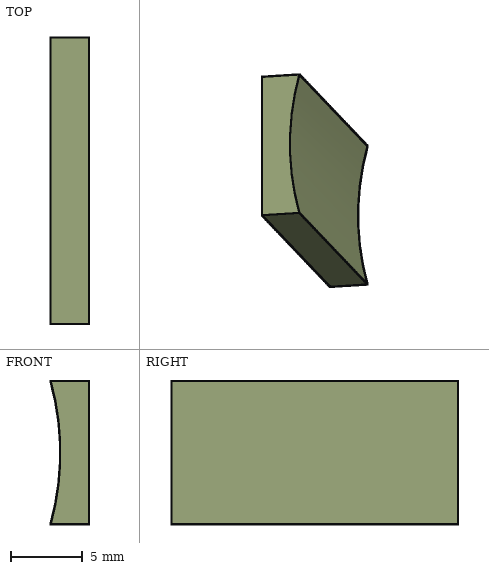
import cadquery as cq

length = 20.0
height = 10.0
thickness = 2.7
channel_depth = 0.68

half_height = height / 2
half_thickness = thickness / 2

profile = (
    cq.Workplane("XZ")
    .moveTo(half_thickness, -half_height)
    .lineTo(half_thickness, half_height)
    .lineTo(-half_thickness, half_height)
    .threePointArc(
        (-half_thickness + channel_depth, 0),
        (-half_thickness, -half_height),
    )
    .close()
)

result = profile.extrude(length / 2, both=True)